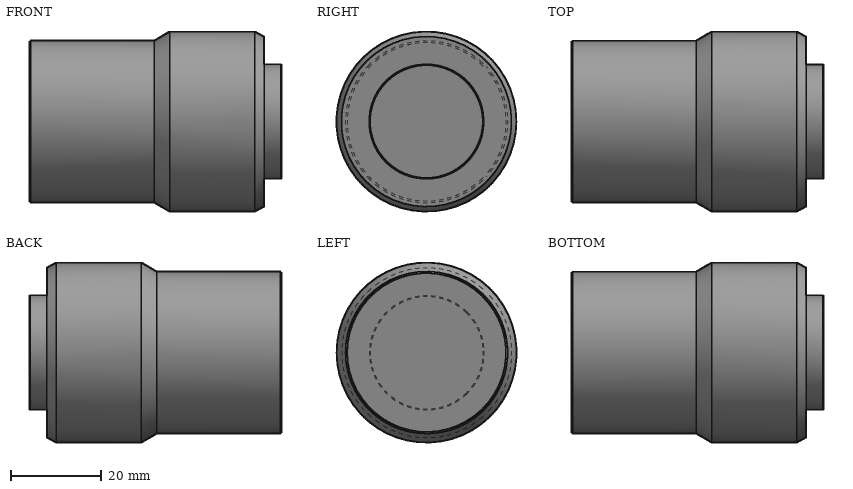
import cadquery as cq

total_length = 56.1
handle_diameter = 36.0
head_diameter = 40.0
spigot_diameter = 25.45

cone_start = 27.75
head_start = 31.2
head_end = 52.2

handle_chamfer = 0.4
spigot_chamfer = 0.2
head_chamfer_length = 2.1
head_chamfer_depth = 1.1

handle_radius = handle_diameter / 2
head_radius = head_diameter / 2
spigot_radius = spigot_diameter / 2

half_section = [
    (0, 0),
    (0, handle_radius - handle_chamfer),
    (handle_chamfer, handle_radius),
    (cone_start, handle_radius),
    (head_start, head_radius),
    (head_end - head_chamfer_length, head_radius),
    (head_end, head_radius - head_chamfer_depth),
    (head_end, spigot_radius),
    (total_length - spigot_chamfer, spigot_radius),
    (total_length, spigot_radius - spigot_chamfer),
    (total_length, 0),
]

result = cq.Workplane("XY").polyline(half_section).close().revolve(360, (0, 0, 0), (1, 0, 0))